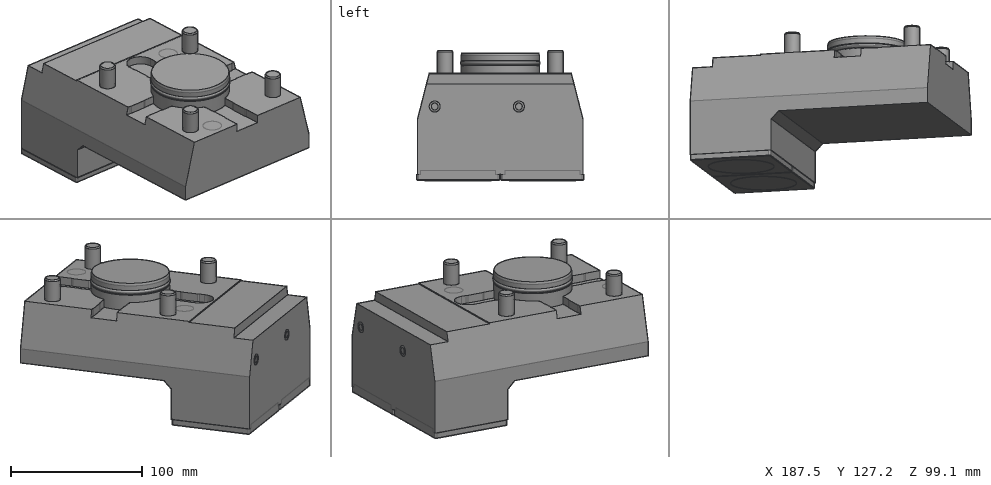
import cadquery as cq

body_length = 187.0
body_width = 126.0
deck_width = 108.0
knee_z = -35.3
ledge_length = 15.5
ledge_z = -8.0
shoulder_end_x = 52.9
shoulder_z = -0.8
arm_underside_z = -46.7
foot_length = 64.0
foot_bottom_z = -76.9
foot_corner_chamfer = 6.0

hub_x = 121.9
hub_diameter = 59.8
hub_top_z = 15.2
hub_rim_height = 1.9
hub_rim_inset = 0.5
groove_diameter = 55.1
groove_width = 3.8
hub_ring_z = 7.7
hub_ring_diameter = 60.8
hub_ring_section = 3.0

slot_width = 20.8
slot_neck_width = 20.0
slot_depth = 6.2
slot_reach = 67.0
neck_radius = 44.5
neck_length = 13.0
neck_taper = 1.3

pin_diameter = 12.0
pin_height = 17.3
pin_pitch_x = 94.3
pin_pitch_y = 84.0
pin_tip_height = 1.1
pin_tip_inset = 0.8
plug_diameter = 14.0
plug_offset_x = 54.2
plug_offset_y = 26.0
plug_depth = 5.6

plate_pitch = 64.0
plate_width = 63.2
plate_length = 63.4
plate_thickness = 4.5
plate_corner_radius = 1.3
plate_edge_chamfer = 0.5
tab_width = 56.8
tab_height = 2.8
pad_diameter = 50.0
pad_height = 0.4

seal_z = -25.3
seal_offset_y = 17.8
seal_mean_diameter = 6.8
seal_section = 1.7
seal_projection = 0.5


def cylinder(diameter, bottom_z, height, x, y):
    return cq.Workplane("XY", origin=(x, y, bottom_z)).circle(diameter / 2).extrude(height)


def ring(mean_diameter, section, center, axis):
    return cq.Workplane(obj=cq.Solid.makeTorus(mean_diameter / 2, section / 2, center, axis))


def make_body():
    """Stepped side outline, trimmed to the cross-section with leaning side walls."""
    side = (
        cq.Workplane("XZ")
        .moveTo(0, foot_bottom_z)
        .lineTo(0, ledge_z)
        .lineTo(ledge_length, ledge_z)
        .lineTo(ledge_length, shoulder_z)
        .lineTo(shoulder_end_x, shoulder_z)
        .lineTo(shoulder_end_x, 0)
        .lineTo(body_length, 0)
        .lineTo(body_length, arm_underside_z)
        .lineTo(foot_length + foot_corner_chamfer, arm_underside_z)
        .lineTo(foot_length, arm_underside_z - foot_corner_chamfer)
        .lineTo(foot_length, foot_bottom_z)
        .close()
        .extrude(body_width / 2, both=True)
    )
    section = (
        cq.Workplane("YZ")
        .polyline([
            (-body_width / 2, foot_bottom_z),
            (body_width / 2, foot_bottom_z),
            (body_width / 2, knee_z),
            (deck_width / 2, 0),
            (-deck_width / 2, 0),
            (-body_width / 2, knee_z),
        ])
        .close()
        .extrude(body_length)
    )
    return side.intersect(section)


def make_slot_arm(reach, rounded_end=False):
    """Slot from the hub axis along +X, with a slightly narrower neck part way along."""
    half_width = slot_width / 2
    half_neck = slot_neck_width / 2
    neck_start = neck_radius - neck_length / 2
    neck_end = neck_radius + neck_length / 2
    straight_end = reach - half_width if rounded_end else reach
    outline = (
        cq.Workplane("XY")
        .moveTo(0, -half_width)
        .lineTo(neck_start - neck_taper, -half_width)
        .lineTo(neck_start, -half_neck)
        .lineTo(neck_end, -half_neck)
        .lineTo(neck_end + neck_taper, -half_width)
        .lineTo(straight_end, -half_width)
    )
    if rounded_end:
        outline = outline.threePointArc((reach, 0), (straight_end, half_width))
    else:
        outline = outline.lineTo(straight_end, half_width)
    return (
        outline
        .lineTo(neck_end + neck_taper, half_width)
        .lineTo(neck_end, half_neck)
        .lineTo(neck_start, half_neck)
        .lineTo(neck_start - neck_taper, half_width)
        .lineTo(0, half_width)
        .close()
        .extrude(-slot_depth)
    )


def cut_slots(body):
    """Three overlong arms run out through the edges; the one facing the front end is closed."""
    for angle in (0, 90, 180, 270):
        if angle == 180:
            arm = make_slot_arm(slot_reach, rounded_end=True)
        else:
            arm = make_slot_arm(body_width)
        arm = arm.rotate((0, 0, 0), (0, 0, 1), angle)
        body = body.cut(arm.translate((hub_x, 0, 0)))
    return body


def make_hub():
    """Round spigot from the slot floor, with a rim chamfer and a ring in a groove."""
    radius = hub_diameter / 2
    groove_radius = groove_diameter / 2
    groove_bottom_z = hub_ring_z - groove_width / 2
    groove_top_z = hub_ring_z + groove_width / 2
    profile = (
        cq.Workplane("XZ")
        .polyline([
            (0, -slot_depth),
            (radius, -slot_depth),
            (radius, groove_bottom_z),
            (groove_radius, groove_bottom_z),
            (groove_radius, groove_top_z),
            (radius, groove_top_z),
            (radius, hub_top_z - hub_rim_height),
            (radius - hub_rim_inset, hub_top_z),
            (0, hub_top_z),
        ])
        .close()
    )
    hub = profile.revolve(360, (0, 0), (0, 1))
    mean_diameter = hub_ring_diameter - hub_ring_section
    hub_ring = ring(mean_diameter, hub_ring_section, cq.Vector(0, 0, hub_ring_z), cq.Vector(0, 0, 1))
    return hub.union(hub_ring).translate((hub_x, 0, 0))


def make_pin(x, y):
    pin = cylinder(pin_diameter, 0, pin_height, x, y)
    return pin.faces(">Z").edges().chamfer(pin_tip_height, pin_tip_inset)


def make_plate(y):
    """Plate with rounded corners, a beveled lower edge, a round pad and a tab on top."""
    middle_x = plate_length / 2
    plate_bottom_z = foot_bottom_z - plate_thickness
    plate = (
        cq.Workplane("XY", origin=(middle_x, y, plate_bottom_z))
        .rect(plate_length, plate_width)
        .extrude(plate_thickness)
        .edges("|Z")
        .fillet(plate_corner_radius)
        .faces("<Z")
        .chamfer(plate_edge_chamfer)
    )
    pad = cylinder(pad_diameter, plate_bottom_z - pad_height, pad_height, middle_x, y)
    tab = (
        cq.Workplane("XY", origin=(middle_x, y, foot_bottom_z))
        .rect(plate_length, tab_width)
        .extrude(tab_height)
    )
    return plate.union(pad).union(tab)


def make_seal(y):
    center = cq.Vector(seal_section / 2 - seal_projection, y, seal_z)
    return ring(seal_mean_diameter, seal_section, center, cq.Vector(1, 0, 0))


result = cut_slots(make_body()).union(make_hub())

for pin_side_x in (-1, 1):
    for pin_side_y in (-1, 1):
        pin_x = hub_x + pin_side_x * pin_pitch_x / 2
        result = result.union(make_pin(pin_x, pin_side_y * pin_pitch_y / 2))

for plate_y in (-plate_pitch / 2, plate_pitch / 2):
    plate = make_plate(plate_y)
    result = result.cut(plate, clean=False).union(plate, clean=False)
    result = result.union(make_seal(plate_y + seal_offset_y), clean=False)

for plug_side in (-1, 1):
    plug_x = hub_x + plug_side * plug_offset_x
    plug_y = -plug_side * plug_offset_y
    plug = cylinder(plug_diameter, -plug_depth, plug_depth, plug_x, plug_y)
    result = result.union(plug, clean=False)